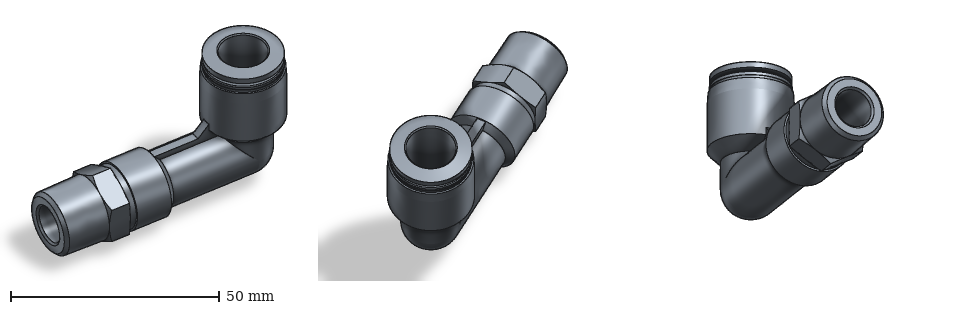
import cadquery as cq
import math


pipe_radius = 7.3
pipe_bore_radius = 10.0 / 2
outlet_bore_radius = 9.5 / 2

socket_radius = 21.0 / 2
socket_cone_height = socket_radius - pipe_radius
socket_cone_bottom = 6.85
socket_cone_top = socket_cone_bottom + socket_cone_height
socket_top = 24.8
socket_edge_drop = 3.05
socket_edge_inset = 0.2

ring_radius = 20.0 / 2
ring_groove_radius = 9.85
ring_bottom = 25.7
ring_top = 26.7
ring_chamfer = 0.25

collar_neck_radius = 13.5 / 2
collar_neck_flare = 0.25
collar_flange_radius = 19.8 / 2
collar_flange_bottom = 27.65
collar_flange_top = 29.1
collar_face_radius = 6.5
collar_top = 29.7
collar_bore_radius = 12.0 / 2
collar_bore_chamfer = 0.3
collar_bore_bottom = socket_cone_top

sleeve_radius = 18.0 / 2
sleeve_end = 35.8
sleeve_cone_start = 24.4
sleeve_cone_end = sleeve_cone_start + sleeve_radius - pipe_radius

hex_flats = 17.0
hex_flat_radius = hex_flats / 2
hex_corner_radius = hex_flat_radius / math.cos(math.pi / 6)
hex_start = 37.5
hex_end = 43.4
hex_back_chamfer = 0.25
hex_front_chamfer = 0.65
thread_start_radius = hex_flat_radius
thread_end_radius = 8.25
outlet_end = 66 - socket_radius
end_chamfer = 0.9
outlet_bore_chamfer = 0.5

rib_width = 2.3
rib_top = 8.85
rib_slope_rise = 3.1


def revolve_vertical(points):
    """Turn (radius, z) points about the Z axis."""
    return cq.Workplane("XZ").polyline(points).close().revolve(360, (0, 0), (0, 1))


def revolve_outlet(points):
    """Turn (radius, distance along -Y) points about the Y axis."""
    profile = [(radius, -distance) for radius, distance in points]
    return cq.Workplane("XY").polyline(profile).close().revolve(360, (0, 0), (0, 1))


def make_socket():
    return revolve_vertical([
        (0, 0),
        (pipe_radius, 0),
        (pipe_radius, socket_cone_bottom),
        (socket_radius, socket_cone_top),
        (socket_radius, socket_top - socket_edge_drop),
        (socket_radius - socket_edge_inset, socket_top),
        (ring_groove_radius, socket_top),
        (ring_groove_radius, ring_bottom),
        (ring_radius, ring_bottom),
        (ring_radius, ring_top - ring_chamfer),
        (ring_radius - ring_chamfer, ring_top),
        (collar_neck_radius, ring_top),
        (collar_neck_radius, collar_flange_bottom - collar_neck_flare),
        (collar_neck_radius + collar_neck_flare, collar_flange_bottom),
        (collar_flange_radius, collar_flange_bottom),
        (collar_flange_radius, collar_flange_top),
        (collar_face_radius, collar_top),
        (0, collar_top),
    ])


def make_outlet():
    return revolve_outlet([
        (0, 0),
        (pipe_radius, 0),
        (pipe_radius, sleeve_cone_start),
        (sleeve_radius, sleeve_cone_end),
        (sleeve_radius, sleeve_end),
        (thread_start_radius, sleeve_end),
        (thread_start_radius, hex_end),
        (thread_end_radius, outlet_end - end_chamfer),
        (thread_end_radius - end_chamfer, outlet_end),
        (0, outlet_end),
    ])


def make_hexagon():
    """Hexagon with corners up and down, its corners turned down at both ends."""
    prism = (
        cq.Workplane("XZ", origin=(0, -hex_start, 0))
        .transformed(rotate=(0, 0, 90))
        .polygon(6, 2 * hex_corner_radius)
        .extrude(hex_end - hex_start)
    )
    envelope = revolve_outlet([
        (0, hex_start),
        (hex_flat_radius, hex_start),
        (hex_corner_radius, hex_start + hex_back_chamfer),
        (hex_corner_radius, hex_end - hex_front_chamfer),
        (hex_flat_radius, hex_end),
        (0, hex_end),
    ])
    return prism.intersect(envelope)


def make_rib():
    slope_top = rib_top + rib_slope_rise
    return (
        cq.Workplane("YZ")
        .moveTo(-pipe_bore_radius, pipe_bore_radius)
        .lineTo(-pipe_bore_radius, slope_top)
        .lineTo(-socket_radius, slope_top)
        .lineTo(-socket_radius - rib_slope_rise, rib_top)
        .lineTo(-sleeve_cone_end, rib_top)
        .lineTo(-sleeve_cone_end, pipe_bore_radius)
        .close()
        .extrude(rib_width / 2, both=True)
    )


def make_bores():
    """Collar and pipe bores, rounded at the bend."""
    vertical = revolve_vertical([
        (0, 0),
        (pipe_bore_radius, 0),
        (pipe_bore_radius, collar_bore_bottom),
        (collar_bore_radius, collar_bore_bottom),
        (collar_bore_radius, collar_top - collar_bore_chamfer),
        (collar_bore_radius + collar_bore_chamfer, collar_top),
        (0, collar_top),
    ])
    horizontal = revolve_outlet([
        (0, 0),
        (pipe_bore_radius, 0),
        (pipe_bore_radius, sleeve_end),
        (outlet_bore_radius, sleeve_end),
        (outlet_bore_radius, outlet_end - outlet_bore_chamfer),
        (outlet_bore_radius + outlet_bore_chamfer, outlet_end),
        (0, outlet_end),
    ])
    bend = cq.Workplane("XY").sphere(pipe_bore_radius)
    return vertical.union(horizontal).union(bend)


outer_bend = cq.Workplane("XY").sphere(pipe_radius)
body = make_socket().union(make_outlet()).union(outer_bend).union(make_hexagon()).union(make_rib())
result = body.cut(make_bores())